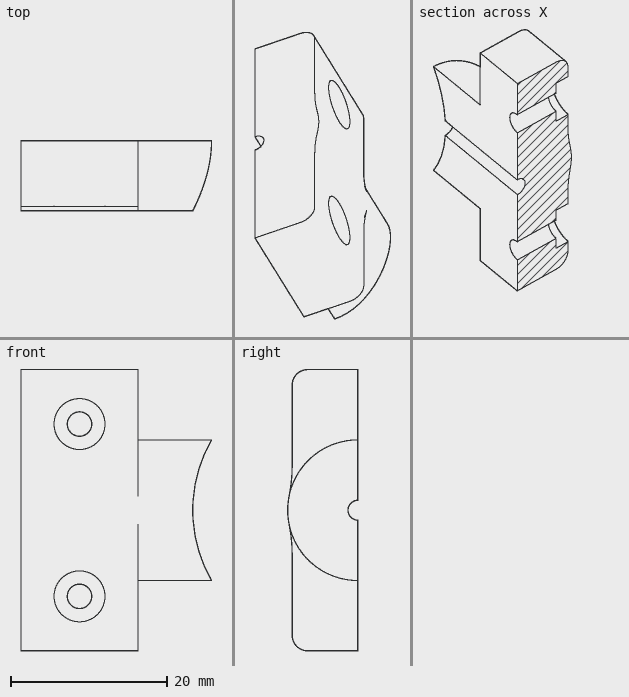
import cadquery as cq
import math

block_width = 15.0
block_height = 36.0
face_depth = 8.42
corner_radius = 2.0

boss_radius = 9.0
blend_radius = 19.0

saddle_radius = 18.0
saddle_axis_x = 40.0

hole_diameter = 3.1
bore_diameter = 6.5
bore_depth = 2.0
hole_x = block_width / 2
hole_offset_z = 11.0

groove_radius = 1.25

blend_center_y = -(face_depth + blend_radius)
blend_end_z = math.sqrt((boss_radius + blend_radius) ** 2 - blend_center_y**2)
crest_angle = math.asin(blend_end_z / (boss_radius + blend_radius))
crest_y = -boss_radius * math.cos(crest_angle)
crest_z = boss_radius * math.sin(crest_angle)
blend_mid_y = blend_center_y + blend_radius * math.cos(crest_angle / 2)
blend_mid_z = blend_end_z - blend_radius * math.sin(crest_angle / 2)


def make_block():
    """Extrude the YZ profile with its gentle central crest and round the front corners."""
    half_height = block_height / 2
    profile = (
        cq.Workplane("YZ")
        .moveTo(0, -half_height)
        .lineTo(-face_depth, -half_height)
        .lineTo(-face_depth, -blend_end_z)
        .threePointArc((blend_mid_y, -blend_mid_z), (crest_y, -crest_z))
        .threePointArc((-boss_radius, 0), (crest_y, crest_z))
        .threePointArc((blend_mid_y, blend_mid_z), (-face_depth, blend_end_z))
        .lineTo(-face_depth, half_height)
        .lineTo(0, half_height)
        .close()
    )
    block = profile.extrude(block_width)
    front_corners = cq.selectors.BoxSelector(
        (-0.35, -face_depth - 0.35, half_height - 0.35),
        (block_width + 0.35, -face_depth + 0.35, half_height + 0.35),
    ) + cq.selectors.BoxSelector(
        (-0.35, -face_depth - 0.35, -half_height - 0.35),
        (block_width + 0.35, -face_depth + 0.35, -half_height + 0.35),
    )
    return block.edges("|X").edges(front_corners).fillet(corner_radius)


def make_boss():
    """Half cylinder whose free end is cut to fit around a round post."""
    boss = (
        cq.Workplane("YZ")
        .moveTo(0, -boss_radius)
        .threePointArc((-boss_radius, 0), (0, boss_radius))
        .close()
        .extrude(saddle_axis_x)
    )
    post = (
        cq.Workplane("XZ")
        .center(saddle_axis_x, 0)
        .circle(saddle_radius)
        .extrude(boss_radius)
    )
    side_trim = cq.Workplane("YZ").rect(block_height, block_height).extrude(block_width)
    return boss.cut(post).cut(side_trim)


def make_screw_hole(z):
    """Through hole with a counterbore sunk from the front face."""
    through_hole = cq.Workplane("XZ").center(hole_x, z).circle(hole_diameter / 2).extrude(face_depth)
    counterbore = (
        cq.Workplane("XZ", origin=(0, -face_depth + bore_depth, 0))
        .center(hole_x, z)
        .circle(bore_diameter / 2)
        .extrude(bore_depth)
    )
    return through_hole.union(counterbore)


result = make_block().union(make_boss())

for side in (-1, 1):
    result = result.cut(make_screw_hole(side * hole_offset_z))

groove = cq.Workplane("YZ").circle(groove_radius).extrude(saddle_axis_x)
result = result.cut(groove)